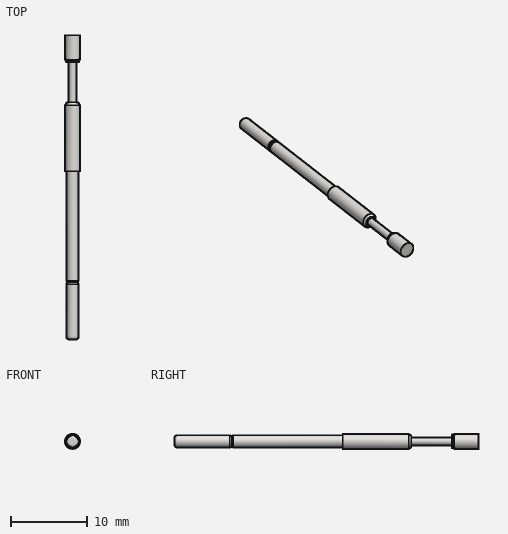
import cadquery as cq

body_diameter = 2.0
tube_diameter = 1.65
stem_diameter = 1.07
rim_diameter = 1.85
neck_diameter = 1.65

length = 39.8
head_shoulder = 3.2
rim_start = 3.4
head_length = 3.55
sleeve_start = 8.8
sleeve_end = 17.8
groove_center = 32.3

sleeve_bevel_length = 0.35
sleeve_bevel_depth = 0.25
rim_bevel = 0.1
groove_width = 0.48
groove_depth = 0.1
tip_radius = 0.4

head_end = length / 2


def cylinder(diameter, start, end):
    """Round bar along Y between two distances from the head end."""
    plane = cq.Workplane("XZ", origin=(0, head_end - start, 0))
    return plane.circle(diameter / 2).extrude(end - start)


def make_head():
    """Plain head, then a narrower neck that ends in a thin beveled rim."""
    head = cylinder(body_diameter, 0, head_shoulder)
    neck = cylinder(neck_diameter, head_shoulder, rim_start)
    rim = cylinder(rim_diameter, rim_start, head_length)
    rim = rim.faces("<Y").chamfer(rim_bevel)
    return head.union(neck).union(rim)


def make_sleeve():
    """Sleeve with a bevel on the edge that faces the head."""
    sleeve = cylinder(body_diameter, sleeve_start, sleeve_end)
    return sleeve.faces(">Y").chamfer(sleeve_bevel_length, sleeve_bevel_depth)


def make_tube():
    """Long tube with a rounded tip."""
    tube = cylinder(tube_diameter, sleeve_end, length)
    return tube.faces("<Y").edges().fillet(tip_radius)


def make_groove():
    """V-shaped ring that is cut into the tube."""
    center = head_end - groove_center
    surface = tube_diameter / 2
    profile = cq.Workplane("XY").polyline([
        (surface, center - groove_width / 2),
        (surface - groove_depth, center),
        (surface, center + groove_width / 2),
    ]).close()
    return profile.revolve(360, (0, 0, 0), (0, 1, 0))


stem = cylinder(stem_diameter, head_length, sleeve_start)
tube = make_tube().cut(make_groove())
result = make_head().union(stem).union(make_sleeve()).union(tube)